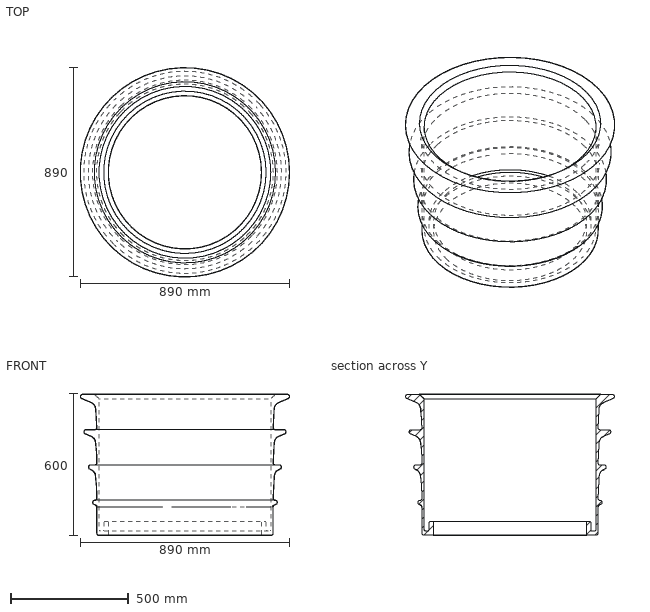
import math

import cadquery as cq

height = 600.0
wall_radius = 750.0 / 2
rib_pitch = height / 4
wall_draft = math.tan(math.radians(3))

rib_radii = [392.5, 410.0, 430.0, 445.0]
tip_round = 10.0
underside_angle = math.radians(23)
underside_slope = math.tan(underside_angle)
upper_root_round = 7.0
lower_root_round = 30.0
bottom_root_round = 8.0
base_round = 10.0

bore_radius = 730 / 2
entry_chamfer = 20.0
collar_outer_radius = 690.0 / 2
collar_inner_radius = 650 / 2
floor_thickness = 20.0
collar_height = 60.0
groove_round = 5.0


def tip_end(tip_radius, top_z):
    """Point where the round tip runs smoothly into the sloped underside."""
    r = tip_radius - tip_round * (1 - math.sin(underside_angle))
    z = top_z - tip_round * (1 + math.cos(underside_angle))
    return r, z


def underside_root(tip_end_point, foot_z, draft):
    """Sharp corner where a rib's underside meets the wall, which is at wall_radius at foot_z."""
    r, z = tip_end_point
    run = r - wall_radius - draft * (z - foot_z)
    root_z = z - underside_slope * run / (1 - underside_slope * draft)
    return wall_radius + draft * (root_z - foot_z), root_z


def round_rings(body, corners, radius):
    """Round the circular edges that pass through the given (radius, z) corners."""
    def on_corner(edge):
        return edge.geomType() == "CIRCLE" and any(
            math.isclose(edge.radius(), r, abs_tol=0.001)
            and math.isclose(edge.Center().z, z, abs_tol=0.001)
            for r, z in corners
        )

    return body.edges().filter(on_corner).fillet(radius)


base_corner = (wall_radius, 0)
section = cq.Workplane("XZ").moveTo(collar_inner_radius, 0).lineTo(*base_corner)
lower_roots = []
upper_roots = []
for level, tip_radius in enumerate(rib_radii):
    foot_z = level * rib_pitch
    top_z = foot_z + rib_pitch
    draft = wall_draft if level > 0 else 0
    tip_bottom = tip_end(tip_radius, top_z)
    lower_roots.append(underside_root(tip_bottom, foot_z, draft))
    section = (
        section.lineTo(*lower_roots[-1])
        .lineTo(*tip_bottom)
        .threePointArc((tip_radius, top_z - tip_round), (tip_radius - tip_round, top_z))
    )
    if tip_radius != rib_radii[-1]:
        upper_roots.append((wall_radius, top_z))
        section = section.lineTo(*upper_roots[-1])

groove_corners = [(bore_radius, floor_thickness), (collar_outer_radius, floor_thickness)]
collar_rim = (collar_outer_radius, collar_height)
section = section.lineTo(bore_radius + entry_chamfer, height).lineTo(bore_radius, height - entry_chamfer)
for corner in groove_corners + [collar_rim]:
    section = section.lineTo(*corner)
section = section.lineTo(collar_inner_radius, collar_height).close()

sleeve = section.revolve(360, (0, 0, 0), (0, 1, 0))

sleeve = round_rings(sleeve, lower_roots[1:], lower_root_round)
sleeve = round_rings(sleeve, lower_roots[:1], bottom_root_round)
sleeve = round_rings(sleeve, upper_roots, upper_root_round)
sleeve = round_rings(sleeve, [base_corner], base_round)
sleeve = round_rings(sleeve, groove_corners + [collar_rim], groove_round)

result = sleeve